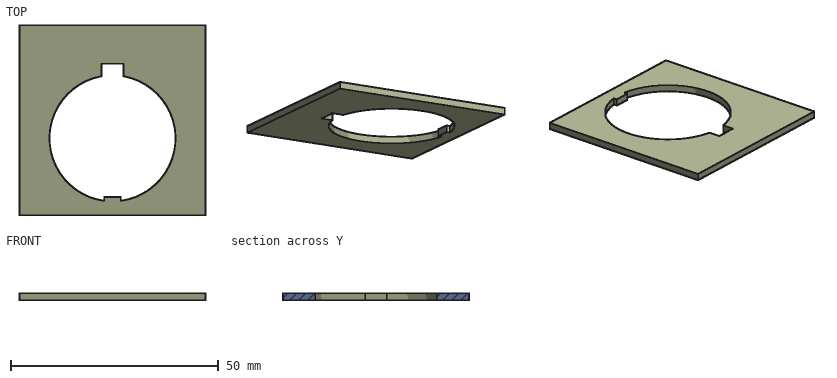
import cadquery as cq

plate_width = 44.8
plate_height = 45.75
plate_thickness = 1.7

hole_diameter = 30.3
hole_center_y = -4.35

notch_width = 5.2
notch_reach = 17.95

tab_width = 4.05
tab_distance = 14.1


def through_box(width, start_y, end_y):
    """Plate-thick block centred on X = 0, spanning start_y to end_y."""
    return (
        cq.Workplane("XY")
        .center(0, (start_y + end_y) / 2)
        .rect(width, end_y - start_y)
        .extrude(plate_thickness)
    )


plate = cq.Workplane("XY").rect(plate_width, plate_height).extrude(plate_thickness)

round_hole = (
    cq.Workplane("XY")
    .center(0, hole_center_y)
    .circle(hole_diameter / 2)
    .extrude(plate_thickness)
)

notch = through_box(notch_width, hole_center_y, hole_center_y + notch_reach)
tab = through_box(tab_width, -plate_height / 2, hole_center_y - tab_distance)

opening = round_hole.union(notch).cut(tab)
result = plate.cut(opening)